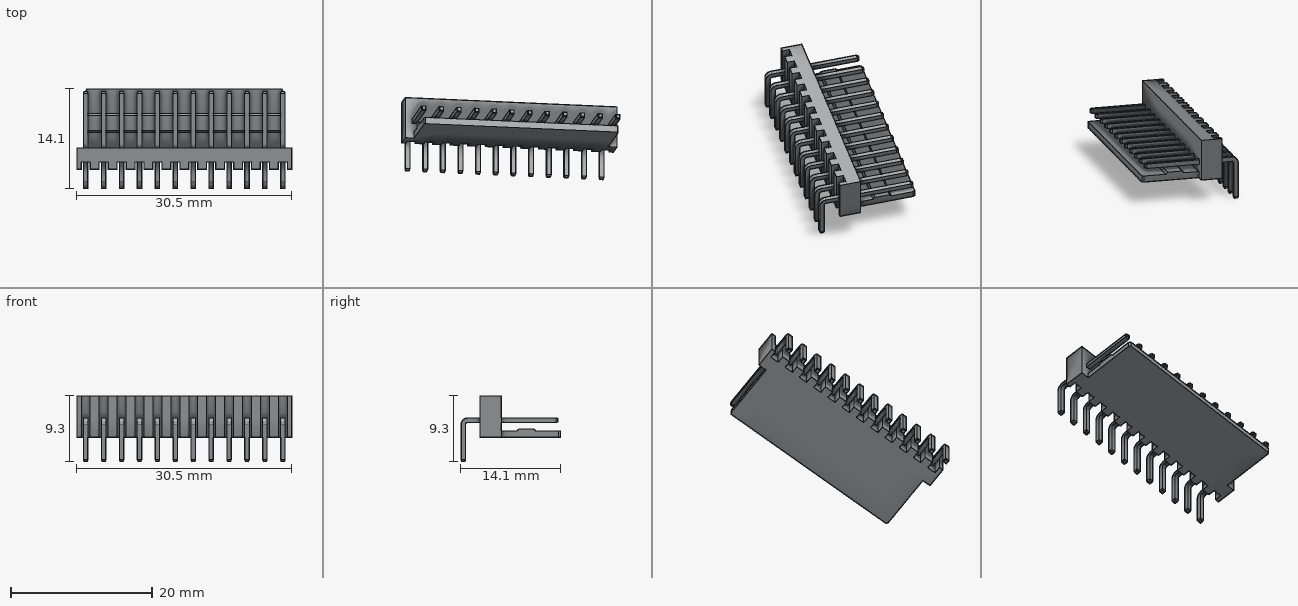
import cadquery as cq


pin_count = 12
body_length = 30.48
body_depth = 3.05
body_height = 5.88
pitch = body_length / pin_count

slot_width = pitch / 2
slot_depth = 1.05

tongue_width = (pin_count - 1) * pitch
tongue_length = 8.38
tongue_thickness = 0.9
corner_cut_width = 0.15
corner_cut_length = 0.3
ridge_height = 0.27
ridge_ramp = 0.27
ridge_start = 2.2
ridge_base = 2.68

pin_size = 0.65
pin_top = 2.75
pin_back = tongue_length - 0.37
pin_front = -body_depth - 2.68
pin_bottom = body_height - 9.3
bend_inner_radius = 0.3
bend_outer_radius = bend_inner_radius + pin_size
tip_length = 0.27
tip_inset = 0.1


def make_body():
    body = cq.Workplane("XY").box(body_length, body_depth, body_height, centered=(True, False, False))
    body = body.translate((0, -body_depth, 0))
    slots = (
        cq.Workplane("XY")
        .rarray(pitch, 0.3, pin_count, 1)
        .rect(slot_width, 2 * slot_depth)
        .extrude(body_height)
        .translate((0, -body_depth, 0))
    )
    return body.cut(slots)


def make_tongue():
    half_width = tongue_width / 2
    end_half_width = half_width - corner_cut_width
    corner_start = tongue_length - corner_cut_length
    plate = (
        cq.Workplane("XY")
        .moveTo(-half_width, 0)
        .lineTo(-half_width, corner_start)
        .lineTo(-end_half_width, tongue_length)
        .lineTo(end_half_width, tongue_length)
        .lineTo(half_width, corner_start)
        .lineTo(half_width, 0)
        .close()
        .extrude(tongue_thickness)
    )
    ridge_end = ridge_start + ridge_base
    ridge_top = tongue_thickness + ridge_height
    ridge = (
        cq.Workplane("YZ")
        .moveTo(ridge_start, tongue_thickness)
        .lineTo(ridge_start + ridge_ramp, ridge_top)
        .lineTo(ridge_end - ridge_ramp, ridge_top)
        .lineTo(ridge_end, tongue_thickness)
        .close()
        .extrude(half_width, both=True)
    )
    return plate.union(ridge)


def make_tip(plane):
    """Tapered pin end, growing from the plane origin along the plane normal."""
    tip_size = pin_size - 2 * tip_inset
    return (
        cq.Workplane(plane)
        .rect(pin_size, pin_size)
        .workplane(offset=tip_length)
        .rect(tip_size, tip_size)
        .loft(ruled=True)
    )


def make_pin():
    bar_back = pin_back - tip_length
    leg_bottom = pin_bottom + tip_length
    leg_back = pin_front + pin_size
    bar_bottom = pin_top - pin_size
    bar = (
        cq.Workplane("YZ")
        .moveTo(bar_back, pin_top)
        .lineTo(pin_front + bend_outer_radius, pin_top)
        .radiusArc((pin_front, pin_top - bend_outer_radius), -bend_outer_radius)
        .lineTo(pin_front, leg_bottom)
        .lineTo(leg_back, leg_bottom)
        .lineTo(leg_back, bar_bottom - bend_inner_radius)
        .radiusArc((leg_back + bend_inner_radius, bar_bottom), bend_inner_radius)
        .lineTo(bar_back, bar_bottom)
        .close()
        .extrude(pin_size / 2, both=True)
    )
    back_plane = cq.Plane(
        origin=(0, bar_back, pin_top - pin_size / 2), xDir=(1, 0, 0), normal=(0, 1, 0)
    )
    bottom_plane = cq.Plane(
        origin=(0, pin_front + pin_size / 2, leg_bottom), xDir=(1, 0, 0), normal=(0, 0, -1)
    )
    return bar.union(make_tip(back_plane)).union(make_tip(bottom_plane))


result = make_body().union(make_tongue())
pin = make_pin()
for index in range(pin_count):
    pin_x = (index - (pin_count - 1) / 2) * pitch
    result = result.union(pin.translate((pin_x, 0, 0)))